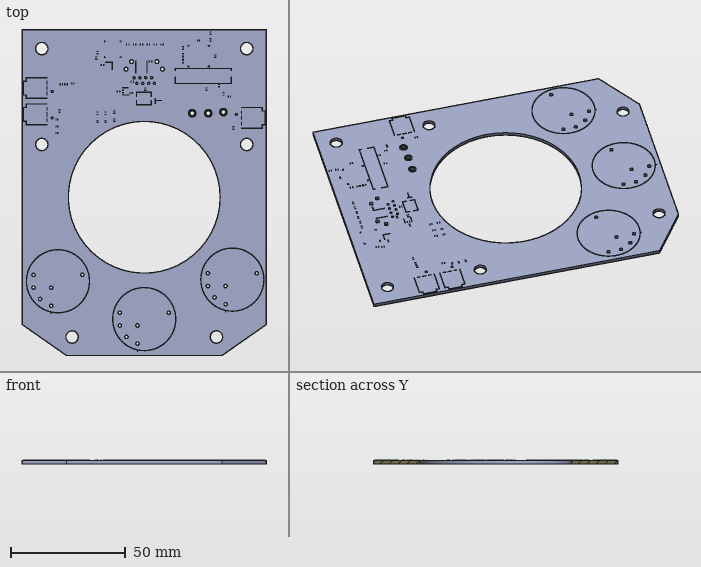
import cadquery as cq
import math

BOARD_WIDTH = 106.43
BOARD_LENGTH = 141.99
TOTAL_HEIGHT = 1.66
BOARD_THICKNESS = 1.6
MARK_HEIGHT = TOTAL_HEIGHT - BOARD_THICKNESS
CHAMFER_X = 19.3
CHAMFER_Y = 13.5
HALF_WIDTH = BOARD_WIDTH / 2
HALF_LENGTH = BOARD_LENGTH / 2

WINDOW_DIAMETER = 66.04
WINDOW_Y = -2.0
SCREW_DIAMETER = 5.3
SCREW_PAIRS = [(44.65, 62.75), (44.65, 21.0), (31.45, -62.9)]

TRACK_WIDTH = 0.12

SENSOR_CENTRES = [(-37.6, -38.6), (0.0, -55.1), (38.4, -37.9)]
SENSOR_RING_DIAMETER = 27.5
SENSOR_HOLE_DIAMETER = 1.4
SENSOR_HOLES = [
    (-10.65, 2.8),
    (10.65, 2.8),
    (-10.65, -2.8),
    (-2.95, -2.8),
    (-7.75, -7.75),
    (-2.95, -10.7),
]
SENSOR_TICK_X = -2.95
SENSOR_TICK_LENGTH = 0.6

CONNECTORS = [(45.6, -1), (34.1, -1), (32.6, 1)]
CONNECTOR_INNER_X = 42.4
CONNECTOR_STEP_X = 51.4
CONNECTOR_OUTER_X = 52.6
CONNECTOR_HALF_WIDTH = 4.5
CONNECTOR_NOSE_HALF_WIDTH = 3.0
CONNECTOR_DASHES = [(-3.0, -1.9), (-0.75, 0.75), (1.9, 3.0)]
CONNECTOR_DOT_DIAMETER = 0.9
CONNECTOR_DOT_X = 40.1
CONNECTOR_DOT_OFFSET = 1.5

JACK_PIN_DIAMETER = 0.9
JACK_PIN_COUNT = 8
JACK_PIN_PITCH = 1.27
JACK_ROW_Y = (50.1, 47.6)
JACK_TAB_HOLES = [(-5.5, 57.1), (5.5, 57.1), (-7.9, 53.8), (7.9, 53.8)]
JACK_TAB_DIAMETER = 1.6
JACK_LINE_X = (-3.7, 1.2)
JACK_LINE_Y = (52.3, 57.3)

TEST_POINTS = [(20.9, 34.6), (27.9, 34.6), (34.5, 35.1)]
TEST_HOLE_DIAMETER = 2.0
TEST_RING_DIAMETER = 3.2

CORNER_MARKED_CHIPS = [((-13.7, 62.5), 3.6), ((23.7, 59.5), 4.6)]
CORNER_MARK_LENGTH = 0.4

FRAMED_MODULES = [
    (13.45, 37.9, 54.1, 47.55, 0.8, 2.8),
    (-3.4, 3.0, 43.7, 38.3, 1.7, 1.9),
]

OPEN_OUTLINES = [
    [(-16.9, 56.8), (-14.0, 56.8), (-14.0, 53.7)],
    [(-9.4, 45.7), (-7.1, 45.7)],
    [(-9.4, 42.6), (-6.6, 42.6)],
    [(4.8, 40.2), (7.4, 40.2)],
    [(4.8, 39.0), (4.8, 41.0)],
]

RESISTOR_MARK = (0.47, 1.05)
CAPACITOR_MARK = (0.28, 1.02)
SMALL_MARK = (0.3, 0.76)

UPRIGHT_RESISTORS = [
    (-20.4, 61.0),
    (-20.9, 58.6),
    (-20.4, 34.6),
    (-16.9, 34.6),
    (-13.0, 35.1),
    (-13.0, 31.6),
    (0.5, 45.1),
    (16.9, 63.0),
    (16.9, 60.0),
    (16.9, 58.6),
    (16.9, 57.1),
    (30.9, 59.5),
    (28.9, 69.5),
    (28.9, 66.5),
    (38.9, 28.2),
    (-36.9, 35.6),
]
UPRIGHT_CAPACITORS = [(32.6, 46.6), (27.2, 45.1), (34.6, 43.1), (-9.2, 44.1)]
FLAT_RESISTORS = [(-5.2, 48.3), (-5.7, 43.4), (37.1, 41.9), (-36.1, 47.3), (-34.1, 47.3)]
CAPACITOR_ROW_START = (-7.2, 64.6)
CAPACITOR_ROW_COUNT = 6
CAPACITOR_ROW_PITCH = 3.0
CAPACITOR_ROW = [
    (CAPACITOR_ROW_START[0] + i * CAPACITOR_ROW_PITCH, CAPACITOR_ROW_START[1])
    for i in range(CAPACITOR_ROW_COUNT)
]
FLAT_CAPACITORS = CAPACITOR_ROW + [(-18.2, 55.6), (2.7, 57.1), (-11.2, 44.1), (-31.1, 47.6)]
UPRIGHT_SMALL_PARTS = [(-20.4, 31.1), (-16.9, 31.1)]
FLAT_SMALL_PARTS = [(-38.1, 31.9), (-38.1, 28.9), (-38.1, 25.9), (23.7, 66.3)]


def on_board_top():
    return cq.Workplane("XY").workplane(offset=BOARD_THICKNESS)


def track(start, end):
    """A raised straight line with square ends, running between two points."""
    dx = end[0] - start[0]
    dy = end[1] - start[1]
    length = math.hypot(dx, dy) + TRACK_WIDTH
    bar = cq.Workplane("XY").box(length, TRACK_WIDTH, MARK_HEIGHT)
    bar = bar.rotate((0, 0, 0), (0, 0, 1), math.degrees(math.atan2(dy, dx)))
    middle_x = (start[0] + end[0]) / 2
    middle_y = (start[1] + end[1]) / 2
    return bar.translate((middle_x, middle_y, BOARD_THICKNESS + MARK_HEIGHT / 2)).val()


def chain(points):
    return [track(start, end) for start, end in zip(points, points[1:])]


def ring(centre, diameter):
    circles = on_board_top().center(*centre).circle((diameter + TRACK_WIDTH) / 2)
    return circles.circle((diameter - TRACK_WIDTH) / 2).extrude(MARK_HEIGHT).val()


def dot(centre, diameter):
    return on_board_top().center(*centre).circle(diameter / 2).extrude(MARK_HEIGHT).val()


def sensor_marks(centre):
    x, y = centre
    tick_x = x + SENSOR_TICK_X
    ring_radius = SENSOR_RING_DIAMETER / 2
    tick_top = y - math.sqrt(ring_radius**2 - SENSOR_TICK_X**2)
    tick = track((tick_x, tick_top), (tick_x, tick_top - SENSOR_TICK_LENGTH))
    return [ring(centre, SENSOR_RING_DIAMETER), tick]


def connector_marks(centre_y, side):
    """Outline open towards the board middle; the right-hand one is turned half a turn."""
    inner = side * CONNECTOR_INNER_X
    step = side * CONNECTOR_STEP_X
    outer = side * CONNECTOR_OUTER_X
    top = centre_y + CONNECTOR_HALF_WIDTH
    bottom = centre_y - CONNECTOR_HALF_WIDTH
    nose_top = centre_y + CONNECTOR_NOSE_HALF_WIDTH
    nose_bottom = centre_y - CONNECTOR_NOSE_HALF_WIDTH
    marks = chain([
        (inner, top),
        (step, top),
        (step, nose_top),
        (outer, nose_top),
        (outer, nose_bottom),
        (step, nose_bottom),
        (step, bottom),
        (inner, bottom),
    ])
    for low, high in CONNECTOR_DASHES:
        marks.append(track((inner, centre_y + low), (inner, centre_y + high)))
    dot_centre = (side * CONNECTOR_DOT_X, centre_y + side * CONNECTOR_DOT_OFFSET)
    marks.append(dot(dot_centre, CONNECTOR_DOT_DIAMETER))
    return marks


def corner_marks(centre, half_size):
    marks = []
    for sx in (-1, 1):
        for sy in (-1, 1):
            x = centre[0] + sx * half_size
            y = centre[1] + sy * half_size
            inward_x = x - sx * CORNER_MARK_LENGTH
            inward_y = y - sy * CORNER_MARK_LENGTH
            marks += chain([(inward_x, y), (x, y), (x, inward_y)])
    return marks


def module_marks(left, right, top, bottom, upper_side, lower_side):
    upper_end = top - upper_side
    lower_end = bottom + lower_side
    upper = chain([(left, upper_end), (left, top), (right, top), (right, upper_end)])
    lower = chain([(left, lower_end), (left, bottom), (right, bottom), (right, lower_end)])
    return upper + lower


def part_marks(centres, mark, upright):
    """Two parallel lines per part: stacked along Y when upright, along X when flat."""
    half_length = mark[0] / 2
    half_spacing = mark[1] / 2
    marks = []
    for x, y in centres:
        for side in (-half_spacing, half_spacing):
            if upright:
                marks.append(track((x - half_length, y + side), (x + half_length, y + side)))
            else:
                marks.append(track((x + side, y - half_length), (x + side, y + half_length)))
    return marks


def all_marks():
    marks = []
    for centre in SENSOR_CENTRES:
        marks += sensor_marks(centre)
    for centre_y, side in CONNECTORS:
        marks += connector_marks(centre_y, side)
    for centre, half_size in CORNER_MARKED_CHIPS:
        marks += corner_marks(centre, half_size)
    for module in FRAMED_MODULES:
        marks += module_marks(*module)
    for outline in OPEN_OUTLINES:
        marks += chain(outline)
    for x in JACK_LINE_X:
        marks.append(track((x, JACK_LINE_Y[0]), (x, JACK_LINE_Y[1])))
    for centre in TEST_POINTS:
        marks.append(ring(centre, TEST_RING_DIAMETER))
    marks += part_marks(UPRIGHT_RESISTORS, RESISTOR_MARK, upright=True)
    marks += part_marks(UPRIGHT_CAPACITORS, CAPACITOR_MARK, upright=True)
    marks += part_marks(UPRIGHT_SMALL_PARTS, SMALL_MARK, upright=True)
    marks += part_marks(FLAT_RESISTORS, RESISTOR_MARK, upright=False)
    marks += part_marks(FLAT_CAPACITORS, CAPACITOR_MARK, upright=False)
    marks += part_marks(FLAT_SMALL_PARTS, SMALL_MARK, upright=False)
    return marks


def board_blank():
    outline = cq.Workplane("XY").polyline([
        (-HALF_WIDTH, HALF_LENGTH),
        (HALF_WIDTH, HALF_LENGTH),
        (HALF_WIDTH, CHAMFER_Y - HALF_LENGTH),
        (HALF_WIDTH - CHAMFER_X, -HALF_LENGTH),
        (CHAMFER_X - HALF_WIDTH, -HALF_LENGTH),
        (-HALF_WIDTH, CHAMFER_Y - HALF_LENGTH),
    ])
    return outline.close().extrude(BOARD_THICKNESS)


def through_holes(centres, diameter):
    return cq.Workplane("XY").pushPoints(centres).circle(diameter / 2).extrude(TOTAL_HEIGHT)


def jack_pins():
    first_x = -JACK_PIN_PITCH * (JACK_PIN_COUNT - 1) / 2
    return [(first_x + i * JACK_PIN_PITCH, JACK_ROW_Y[i % 2]) for i in range(JACK_PIN_COUNT)]


def all_holes():
    screws = [(side * x, y) for x, y in SCREW_PAIRS for side in (-1, 1)]
    sensor_pins = [(cx + x, cy + y) for cx, cy in SENSOR_CENTRES for x, y in SENSOR_HOLES]
    groups = [
        through_holes([(0, WINDOW_Y)], WINDOW_DIAMETER),
        through_holes(screws, SCREW_DIAMETER),
        through_holes(sensor_pins, SENSOR_HOLE_DIAMETER),
        through_holes(jack_pins(), JACK_PIN_DIAMETER),
        through_holes(JACK_TAB_HOLES, JACK_TAB_DIAMETER),
        through_holes(TEST_POINTS, TEST_HOLE_DIAMETER),
    ]
    return [solid for group in groups for solid in group.solids().vals()]


marked_board = board_blank().val().fuse(*all_marks())
result = cq.Workplane("XY").newObject([marked_board.cut(*all_holes()).Solids()[0]])